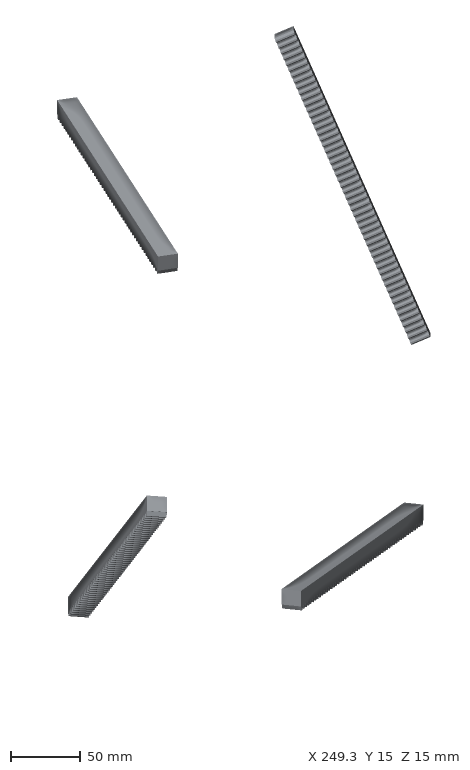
import cadquery as cq
import math

length = 249.33
width = 15.0
height = 15.0

module = 1.5
pressure_angle = math.radians(20)
tooth_count = 53
addendum = module
dedendum = 1.25 * module
pitch = math.pi * module

tip_z = 0.0
pitch_line_z = tip_z + addendum
root_z = pitch_line_z + dedendum

tip_half_width = pitch / 4 - addendum * math.tan(pressure_angle)
root_half_width = pitch / 4 + dedendum * math.tan(pressure_angle)


def rack_outline():
    """Closed XZ outline of the bar with its row of trapezoidal teeth."""
    half_length = length / 2
    first_tooth_x = -pitch * (tooth_count - 1) / 2
    points = [(-half_length, height), (-half_length, root_z)]
    for index in range(tooth_count):
        tooth_x = first_tooth_x + index * pitch
        points.append((tooth_x - root_half_width, root_z))
        points.append((tooth_x - tip_half_width, tip_z))
        points.append((tooth_x + tip_half_width, tip_z))
        points.append((tooth_x + root_half_width, root_z))
    points += [(half_length, root_z), (half_length, height)]
    return cq.Workplane("XZ").polyline(points).close()


result = rack_outline().extrude(width / 2, both=True)